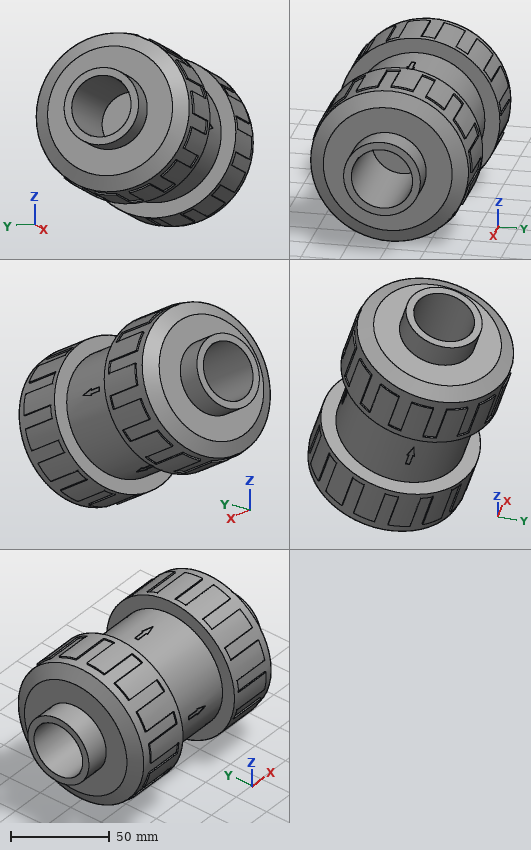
import cadquery as cq

length = 140.0

pipe_radius = 20.0
bore_radius = 16.0

nut_inner_end = 20.9
nut_outer_end = 56.0
nut_radius = 42.0
nut_face_radius = 33.6
chamfer_length = 4.3

rib_count = 14
rib_angle = 16.0
first_rib_elevation = 5.2
rib_height = 0.8
rib_outer_end = 46.6
collar_width = 3.4

body_radius = 34.2

arrow_count = 4
arrow_length = 13.5
arrow_head_length = 6.7
arrow_head_width = 3.8
arrow_shaft_width = 2.1
arrow_height = 0.3

rib_root_radius = nut_radius - rib_height
collar_end = nut_inner_end + collar_width
bore_depth = length / 2 - nut_inner_end

AXIS_START = (0, 0, 0)
AXIS_END = (1, 0, 0)


def cylinder(radius, start_x, end_x):
    """Solid cylinder along the X axis."""
    return cq.Workplane("YZ", origin=(start_x, 0, 0)).circle(radius).extrude(end_x - start_x)


def turn(shape, angle):
    """Rotate a shape about the X axis; positive angles carry +Y towards +Z."""
    return shape.rotate(AXIS_START, AXIS_END, angle)


def make_rib():
    """Grip rib centred on the -Y side of the nut at the -X end."""
    rib_bottom = rib_root_radius - rib_height
    rib = (
        cq.Workplane("XY")
        .moveTo(-rib_outer_end, -rib_bottom)
        .lineTo(-collar_end, -rib_bottom)
        .lineTo(-collar_end, -nut_radius)
        .lineTo(-rib_outer_end, -nut_radius)
        .close()
        .revolve(rib_angle, AXIS_START, AXIS_END)
    )
    return turn(rib, -rib_angle / 2)


def make_nut():
    """Union nut at the -X end: collar, recessed band with grip ribs, and chamfer."""
    nut = (
        cq.Workplane("XY")
        .moveTo(-nut_inner_end, 0)
        .lineTo(-nut_inner_end, nut_radius)
        .lineTo(-collar_end, nut_radius)
        .lineTo(-collar_end, rib_root_radius)
        .lineTo(-nut_outer_end + chamfer_length, rib_root_radius)
        .lineTo(-nut_outer_end, nut_face_radius)
        .lineTo(-nut_outer_end, 0)
        .close()
        .revolve(360, AXIS_START, AXIS_END)
    )
    rib = make_rib()
    for index in range(rib_count):
        nut = nut.union(turn(rib, index * 360 / rib_count - first_rib_elevation))
    return nut


def make_arrow():
    """Flow arrow on the +Z side of the body, its top following the body's curve."""
    tail_x = -arrow_length / 2
    tip_x = arrow_length / 2
    head_x = tip_x - arrow_head_length
    prism = (
        cq.Workplane("XY")
        .moveTo(tail_x, -arrow_shaft_width / 2)
        .lineTo(head_x, -arrow_shaft_width / 2)
        .lineTo(head_x, -arrow_head_width / 2)
        .lineTo(tip_x, 0)
        .lineTo(head_x, arrow_head_width / 2)
        .lineTo(head_x, arrow_shaft_width / 2)
        .lineTo(tail_x, arrow_shaft_width / 2)
        .close()
        .extrude(nut_radius)
    )
    return prism.intersect(cylinder(body_radius + arrow_height, tail_x, tip_x))


result = cylinder(body_radius, -nut_inner_end, nut_inner_end)
arrow = make_arrow()
for index in range(arrow_count):
    result = result.union(turn(arrow, index * 360 / arrow_count))

result = result.union(cylinder(pipe_radius, -length / 2, length / 2))

nut = make_nut()
result = result.union(nut)
result = result.union(nut.rotate((0, 0, 0), (0, 0, 1), 180))

result = result.cut(cylinder(bore_radius, -length / 2, -length / 2 + bore_depth))
result = result.cut(cylinder(bore_radius, length / 2 - bore_depth, length / 2))